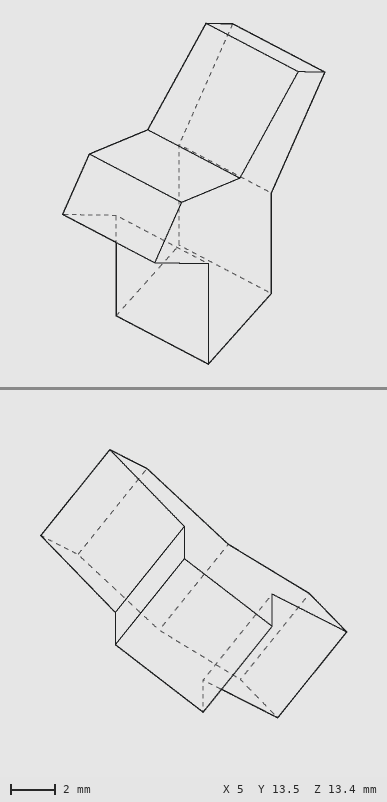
import cadquery as cq
import math

thickness = 5.0
stem_width = 5.0
stem_height = 7.0
arm_length = 6.0
arm_tip_width = 3.0
arm_angle = math.radians(45)
notch_height = 10.5

stem_half = stem_width / 2
tip_outer = (
    stem_half + arm_length * math.cos(arm_angle),
    stem_height + arm_length * math.sin(arm_angle),
)
tip_inner = (
    tip_outer[0] - arm_tip_width * math.sin(arm_angle),
    tip_outer[1] + arm_tip_width * math.cos(arm_angle),
)
half_profile = [
    (0, 0),
    (stem_half, 0),
    (stem_half, stem_height),
    tip_outer,
    tip_inner,
    (0, notch_height),
]


def make_half():
    """Extrude the +Y half of the part, centred on X = 0."""
    return cq.Workplane("YZ").polyline(half_profile).close().extrude(thickness / 2, both=True)


half = make_half()
result = half.union(half.mirror("XZ")).clean()